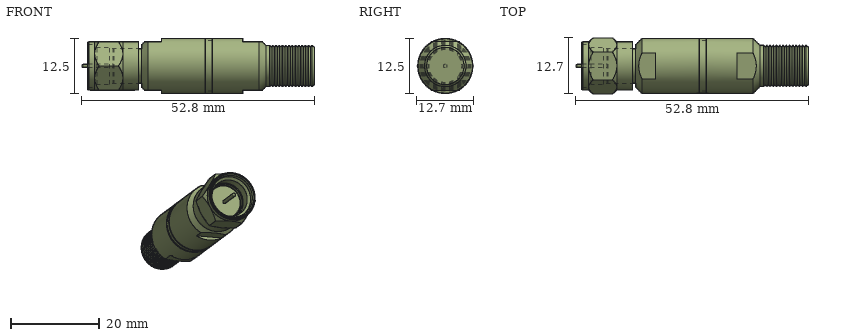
import cadquery as cq
import math

TOTAL_LENGTH = 52.8

PIN_RADIUS = 0.395

NUT_FRONT = 1.3
NUT_REAR = 12.9
HEX_FRONT = 2.9
HEX_REAR = 9.3
HEX_ACROSS_CORNERS = 12.7
HEX_CORNER_RADIUS = HEX_ACROSS_CORNERS / 2
HEX_FLAT_RADIUS = HEX_CORNER_RADIUS * math.cos(math.pi / 6)
HEX_CHAMFER_LENGTH = 1.0
NUT_CHAMFER_LENGTH = 0.25
NUT_CHAMFER_DEPTH = 0.15
MOUTH_CHAMFER = 0.25
NUT_MOUTH_RADIUS = 4.85
NUT_MOUTH_DEPTH = 1.6
NUT_MOUTH_CONE_LENGTH = 0.5
NUT_BORE_RADIUS = 4.2
NUT_BORE_END = 6.25

POST_RADIUS = 3.95
POST_FRONT = 7.0
POST_CHAMFER = 0.2

BARREL_DIAMETER = 12.5
BARREL_RADIUS = BARREL_DIAMETER / 2
BARREL_FRONT = 13.55
BARREL_REAR = 40.2
FRONT_CONE_LENGTH = 1.4
FLAT_HEIGHT = HEX_FLAT_RADIUS
FRONT_FLAT_END = 18.0
REAR_FLAT_START = 36.55

RING_FRONT = 28.05
RING_REAR = 29.5
RING_THICKNESS = 0.55
SEAT_CHAMFER = 0.15

CREST_RADIUS = 4.7
ROOT_RADIUS = 4.35
THREAD_START = 42.55
THREAD_END = 52.15
THREAD_COUNT = 13
THREAD_PITCH = (THREAD_END - THREAD_START) / THREAD_COUNT
TAIL_END_RADIUS = 4.2


def revolve_profile(points):
    """Revolve a closed outline of (x, radius) points around the X axis."""
    outline = cq.Workplane("XY").polyline(points).close()
    return outline.revolve(360, (0, 0, 0), (1, 0, 0))


def cylinder(start, end, radius):
    """Solid cylinder on the X axis between two X positions."""
    return cq.Workplane("YZ").workplane(offset=start).circle(radius).extrude(end - start)


def make_nut():
    """Coupling nut: round sleeve with a chamfered hexagon, bored to turn on the post."""
    sleeve = revolve_profile([
        (NUT_FRONT, 0),
        (NUT_FRONT, HEX_FLAT_RADIUS - NUT_CHAMFER_DEPTH),
        (NUT_FRONT + NUT_CHAMFER_LENGTH, HEX_FLAT_RADIUS),
        (NUT_REAR, HEX_FLAT_RADIUS),
        (NUT_REAR, 0),
    ])

    hexagon = (
        cq.Workplane("YZ")
        .workplane(offset=HEX_FRONT)
        .polygon(6, HEX_ACROSS_CORNERS)
        .extrude(HEX_REAR - HEX_FRONT)
    )
    corner_trim = revolve_profile([
        (HEX_FRONT, 0),
        (HEX_FRONT, HEX_FLAT_RADIUS),
        (HEX_FRONT + HEX_CHAMFER_LENGTH, HEX_CORNER_RADIUS),
        (HEX_REAR - HEX_CHAMFER_LENGTH, HEX_CORNER_RADIUS),
        (HEX_REAR, HEX_FLAT_RADIUS),
        (HEX_REAR, 0),
    ])

    mouth_end = NUT_FRONT + NUT_MOUTH_DEPTH
    bore = revolve_profile([
        (NUT_FRONT, 0),
        (NUT_FRONT, NUT_MOUTH_RADIUS + MOUTH_CHAMFER),
        (NUT_FRONT + MOUTH_CHAMFER, NUT_MOUTH_RADIUS),
        (mouth_end, NUT_MOUTH_RADIUS),
        (mouth_end + NUT_MOUTH_CONE_LENGTH, NUT_BORE_RADIUS),
        (NUT_BORE_END, NUT_BORE_RADIUS),
        (NUT_BORE_END, POST_RADIUS),
        (NUT_REAR, POST_RADIUS),
        (NUT_REAR, 0),
    ])
    return sleeve.union(hexagon.intersect(corner_trim)).cut(bore)


def make_barrel():
    """Round barrel with a front cone, a rear cone and a seat for the marker ring."""
    seat_radius = BARREL_RADIUS - RING_THICKNESS
    rear_cone_length = BARREL_RADIUS - CREST_RADIUS
    barrel = revolve_profile([
        (BARREL_FRONT, 0),
        (BARREL_FRONT, BARREL_RADIUS - FRONT_CONE_LENGTH),
        (BARREL_FRONT + FRONT_CONE_LENGTH, BARREL_RADIUS),
        (RING_FRONT - SEAT_CHAMFER, BARREL_RADIUS),
        (RING_FRONT, BARREL_RADIUS - SEAT_CHAMFER),
        (RING_FRONT, seat_radius),
        (RING_REAR, seat_radius),
        (RING_REAR, BARREL_RADIUS - SEAT_CHAMFER),
        (RING_REAR + SEAT_CHAMFER, BARREL_RADIUS),
        (BARREL_REAR, BARREL_RADIUS),
        (BARREL_REAR + rear_cone_length, CREST_RADIUS),
        (BARREL_REAR + rear_cone_length, 0),
    ])
    return cut_wrench_flats(barrel, BARREL_REAR + rear_cone_length)


def cut_wrench_flats(barrel, barrel_end):
    """Cut a pair of flats, above and below, at each end of the barrel."""
    cut_depth = BARREL_RADIUS - FLAT_HEIGHT
    flat_spans = [(BARREL_FRONT, FRONT_FLAT_END), (REAR_FLAT_START, barrel_end)]
    for start, end in flat_spans:
        for side in (-1, 1):
            cutter = cq.Workplane("XY").box(end - start, 2 * BARREL_RADIUS, cut_depth)
            centre_z = side * (FLAT_HEIGHT + cut_depth / 2)
            barrel = barrel.cut(cutter.translate(((start + end) / 2, 0, centre_z)))
    return barrel


def make_tail():
    """Threaded tail: a plain neck, then ring-shaped V grooves up to a tapered end."""
    points = [(BARREL_REAR, 0), (BARREL_REAR, CREST_RADIUS), (THREAD_START, CREST_RADIUS)]
    for index in range(THREAD_COUNT):
        groove_start = THREAD_START + index * THREAD_PITCH
        points.append((groove_start + THREAD_PITCH / 2, ROOT_RADIUS))
        points.append((groove_start + THREAD_PITCH, CREST_RADIUS))
    points += [(TOTAL_LENGTH, TAIL_END_RADIUS), (TOTAL_LENGTH, 0)]
    return revolve_profile(points)


def make_post():
    """Post inside the nut, with a chamfered front edge."""
    return cylinder(POST_FRONT, BARREL_FRONT, POST_RADIUS).faces("<X").chamfer(POST_CHAMFER)


def make_pin():
    """Centre pin with a hemispherical tip, standing on the front face of the post."""
    shank = cylinder(PIN_RADIUS, POST_FRONT, PIN_RADIUS)
    tip = cq.Workplane("XY").sphere(PIN_RADIUS).translate((PIN_RADIUS, 0, 0))
    return shank.union(tip)


def make_housing():
    """Housing: barrel, threaded tail, post and pin in one piece."""
    return make_barrel().union(make_tail()).union(make_post()).union(make_pin())


def make_marker_ring():
    """Plain ring that fills the seat and lies flush with the barrel."""
    outer = cylinder(RING_FRONT, RING_REAR, BARREL_RADIUS)
    return outer.cut(cylinder(RING_FRONT, RING_REAR, BARREL_RADIUS - RING_THICKNESS))


nut = make_nut()
housing = make_housing()
marker_ring = make_marker_ring()

result = cq.Compound.makeCompound([nut.val(), housing.val(), marker_ring.val()])